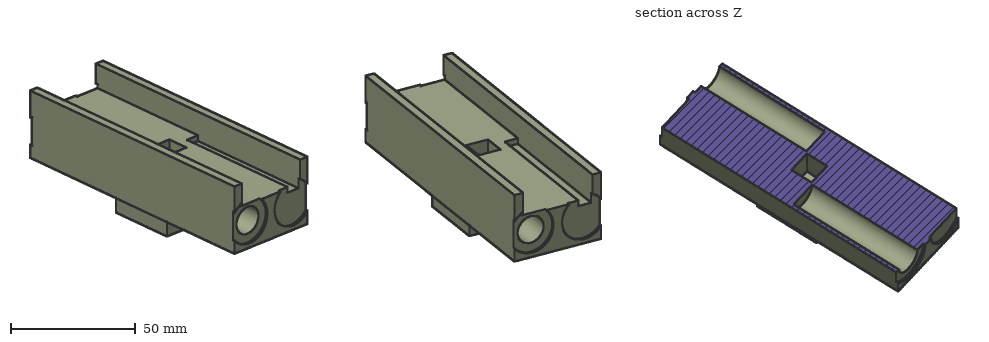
import cadquery as cq

length = 120.0
width = length / 3
body_height = length / 4
wall_thickness = length / 30
floor_height = 19.5

lug_side = body_height
lug_height = width - body_height

pocket_side = length / 12
pocket_depth = floor_height

bore_offset_y = length / 10
bore_height = length / 10
bore_diameter = length / 10
bore_depth = 54.0
recess_diameter = length / 6
recess_depth = 1.0

groove_width = 6.0
groove_depth = 2.5

half_length = length / 2
inner_width = width - 2 * wall_thickness


def block(x_size, y_size, z_size, x, y, z):
    """Box centred on (x, y) with its underside at z."""
    return cq.Workplane("XY").box(x_size, y_size, z_size, centered=(True, True, False)).translate((x, y, z))


def end_cylinder(diameter, depth, y):
    """Cylinder running inward from the -X end face at the bore height."""
    face = cq.Workplane("YZ", origin=(-half_length, y, bore_height))
    return face.circle(diameter / 2).extrude(depth)


def end_cuts():
    """Both recesses, the bore and the groove that start at the -X end."""
    bore = end_cylinder(bore_diameter, bore_depth, bore_offset_y)
    groove = block(
        half_length,
        groove_width,
        groove_depth,
        -half_length / 2,
        -(inner_width - groove_width) / 2,
        floor_height - groove_depth,
    )
    cuts = bore.union(groove)
    for y in (-bore_offset_y, bore_offset_y):
        cuts = cuts.union(end_cylinder(recess_diameter, recess_depth, y))
    return cuts


body = block(length, width, body_height, 0, 0, 0)
channel = block(length, inner_width, body_height - floor_height, 0, 0, floor_height)
lug = block(lug_side, lug_side, lug_height, 0, 0, -lug_height)
pocket = block(pocket_side, pocket_side, pocket_depth, 0, 0, floor_height - pocket_depth)

result = body.cut(channel).cut(pocket).union(lug)

for angle in (0, 180):
    result = result.cut(end_cuts().rotate((0, 0, 0), (0, 0, 1), angle))